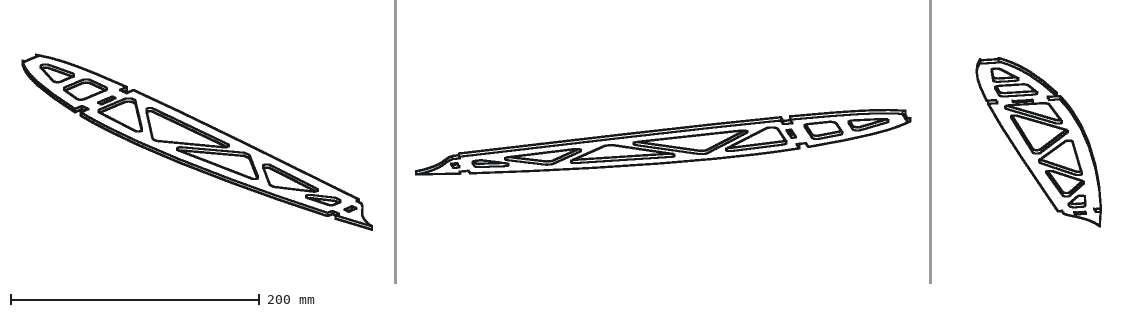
import cadquery as cq

length = 411.85
height = 62.14
thickness = 3.0
overcut = 5.0

nose_top_y = 18.3
nose_bottom_y = 3.1
tail_tip = (length, -0.7)
tail_step_x = 369.3
tail_step_top_y = 25.4
tail_step_y = 22.2
tail_flat_end = (375.5, 21.9)

upper_skin = [
    (0.0, nose_top_y),
    (14.9, 23.6),
    (49.0, 28.75),
    (114.0, height / 2),
    (205.0, 30.05),
    (305.0, 27.4),
    (tail_step_x, tail_step_top_y),
]
tail_fairing = [
    tail_flat_end,
    (381.4, 17.6),
    (387.0, 11.6),
    (396.0, 4.9),
    tail_tip,
]
lower_skin = [
    tail_tip,
    (378.5, -7.9),
    (311.5, -18.9),
    (236.0, -27.5),
    (156.5, -height / 2),
    (100.0, -27.75),
    (49.6, -18.4),
    (18.6, -8.1),
    (0.0, nose_bottom_y),
]

nose_notch_depth = 2.6

spar_left_x = 92.8
spar_right_x = 100.4
spar_top_y = 23.2
spar_bottom_y = -19.0
slot_left_x = 97.3
slot_right_x = 101.0
slot_bottom_y = -5.6
slot_top_y = 10.5

tail_notch_right_x = 376.8
tail_notch_top_y = -4.3
window_left_x = 374.2
window_right_x = 379.3
window_bottom_y = 4.3
window_top_y = 13.0

pockets = [
    [(5.2, 10.9, 4.0), (49.0, 16.8, 4.0), (49.0, -6.5, 4.0)],
    [(58.9, 18.2, 5.0), (85.0, 18.2, 4.0), (85.0, -13.8, 4.0), (58.9, -8.6, 4.5)],
    [(107.2, 19.2, 5.0), (114.8, 19.2, 2.0), (165.1, -19.6, 3.2), (107.2, -16.7, 4.5)],
    [(126.4, 19.2, 3.0), (234.0, 17.9, 3.2), (179.9, -19.1, 3.0), (175.5, -19.1, 3.0)],
    [(193.0, -19.2, 3.0), (244.2, 17.1, 3.0), (250.1, 17.1, 3.0), (290.7, -9.95, 3.0)],
    [(263.2, 17.2, 3.2), (341.6, 13.8, 3.0), (305.2, -8.3, 3.0), (300.6, -8.3, 3.0)],
    [(323.0, -5.2, 3.0), (354.0, 13.9, 3.0), (362.0, 13.5, 4.0), (362.0, 1.6, 3.5)],
]


def rectangular_cutter(left, right, bottom, top):
    return (
        cq.Workplane("XY")
        .moveTo((left + right) / 2, (bottom + top) / 2)
        .rect(right - left, top - bottom)
        .extrude(thickness)
    )


def rib_blank():
    """Aerofoil plate with its top stepped down ahead of the tail fairing."""
    return (
        cq.Workplane("XY")
        .moveTo(*upper_skin[0])
        .spline(upper_skin[1:], includeCurrent=True)
        .lineTo(tail_step_x, tail_step_y)
        .lineTo(*tail_flat_end)
        .spline(tail_fairing[1:], includeCurrent=True)
        .spline(lower_skin[1:], includeCurrent=True)
        .close()
        .extrude(thickness)
    )


def pocket_cutter(corners):
    """Plate-thick plug with each corner rounded to its own radius."""
    outline = [(x, y) for x, y, radius in corners]
    plug = cq.Workplane("XY").polyline(outline).close().extrude(thickness)
    for x, y, radius in corners:
        corner_edge = cq.selectors.NearestToPointSelector((x, y, thickness / 2))
        plug = plug.edges("|Z").edges(corner_edge).fillet(radius)
    return plug


rib = rib_blank()

rib = rib.cut(rectangular_cutter(-overcut, nose_notch_depth, nose_bottom_y, nose_top_y))
rib = rib.cut(rectangular_cutter(spar_left_x, spar_right_x, spar_top_y, height / 2 + overcut))
rib = rib.cut(rectangular_cutter(spar_left_x, spar_right_x, -height / 2 - overcut, spar_bottom_y))
rib = rib.cut(rectangular_cutter(slot_left_x, slot_right_x, slot_bottom_y, slot_top_y))
rib = rib.cut(rectangular_cutter(tail_step_x, tail_notch_right_x, -height / 2, tail_notch_top_y))
rib = rib.cut(rectangular_cutter(window_left_x, window_right_x, window_bottom_y, window_top_y))

for corners in pockets:
    rib = rib.cut(pocket_cutter(corners))

result = rib